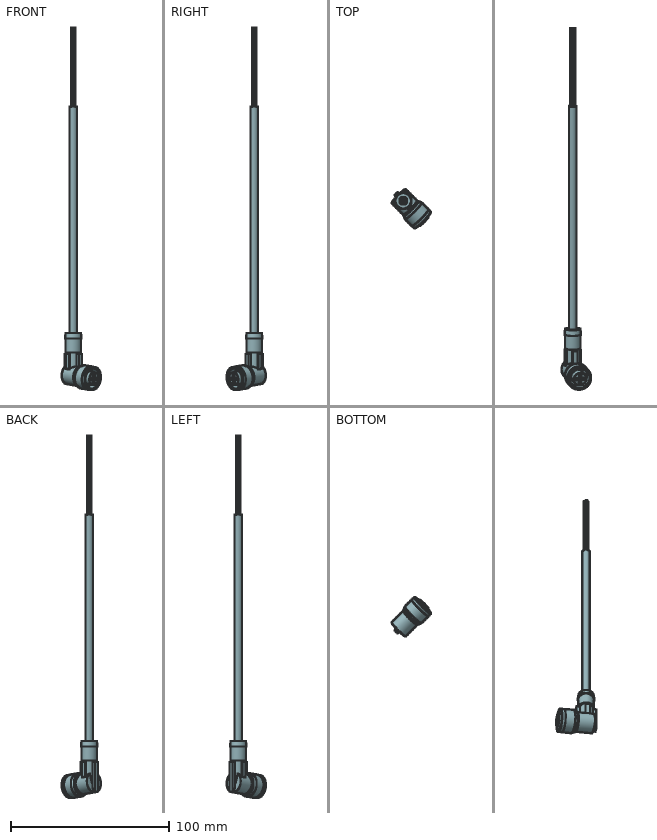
import cadquery as cq

STEP_Z = 14.2
RIB_TOP_Z = 13.4
SLEEVE_LIP_Z = 23.2
SLEEVE_TOP_Z = 26.7
JACKET_TOP_Z = 169.67
WIRE_LENGTH = 50.0

JACKET_RADIUS = 2.5
WIRE_COUNT = 4
WIRE_RADIUS = 0.7
WIRE_PITCH_RADIUS = 1.0
WIRE_EMBED = 5.0

SLEEVE_RADIUS = 5.0
CORE_RADIUS = 4.5
SLEEVE_TOP_RADIUS = 4.9
LIP_RADIUS = 5.3
LONG_RIB_REACH = 6.4
SHORT_RIB_REACH = 5.1
RIB_WIDTH = 2.9
LONG_RIB_BOTTOM_Z = -5.4
SHORT_RIB_BOTTOM_Z = 2.6

PLUG_HEADING = -45.0
PLUG_DIP = 7.0
ELBOW_REAR = -4.15
ELBOW_RADIUS = 6.3
ELBOW_FRONT = 6.3
NECK_RADIUS = 5.6
NUT_REAR = 7.1
NUT_REAR_RADIUS = 6.7
NUT_SHOULDER = 9.0
NUT_BAND = 15.2
NUT_FRONT = 17.41
NUT_RADIUS = 7.5
BAND_RADIUS = 7.4

SOCKET_RADIUS = 6.4
SOCKET_DEPTH = 6.0
INSERT_RADIUS = 4.1
INSERT_FRONT = 18.5
OUTER_CONTACT_COUNT = 4
CONTACT_RADIUS = 0.8
CONTACT_PITCH_RADIUS = 2.4
CONTACT_DEPTH = 5.0


def disc(radius, start, end):
    """Cylinder about the local Z axis between two stations."""
    return cq.Workplane("XY").workplane(offset=start).circle(radius).extrude(end - start)


def to_plug_axis(body):
    """Turn a body built along +Z onto the dipping plug axis."""
    tilted = body.rotate((0, 0, 0), (0, 1, 0), 90 + PLUG_DIP)
    return tilted.rotate((0, 0, 0), (0, 0, 1), PLUG_HEADING)


def make_cable():
    cable = disc(JACKET_RADIUS, 0, JACKET_TOP_Z)
    wires = (
        cq.Workplane("XY")
        .workplane(offset=JACKET_TOP_Z - WIRE_EMBED)
        .polarArray(WIRE_PITCH_RADIUS, 180 / WIRE_COUNT, 360, WIRE_COUNT)
        .circle(WIRE_RADIUS)
        .extrude(WIRE_LENGTH + WIRE_EMBED)
    )
    return cable.union(wires)


def make_rib(reach, bottom):
    """Grip rib standing off the sleeve core towards local +X, square in section."""
    length = RIB_TOP_Z - bottom
    rib = cq.Workplane("XY").box(reach, RIB_WIDTH, length, centered=(False, True, False))
    return rib.translate((0, 0, bottom))


def make_sleeve():
    sleeve = (
        cq.Workplane("XZ")
        .lineTo(CORE_RADIUS, 0)
        .lineTo(CORE_RADIUS, STEP_Z)
        .lineTo(SLEEVE_RADIUS, STEP_Z)
        .lineTo(SLEEVE_RADIUS, SLEEVE_LIP_Z)
        .lineTo(LIP_RADIUS, SLEEVE_LIP_Z)
        .lineTo(SLEEVE_TOP_RADIUS, SLEEVE_TOP_Z)
        .lineTo(0, SLEEVE_TOP_Z)
        .close()
        .revolve(360, (0, 0, 0), (0, 1, 0))
    )
    front_rib = make_rib(LONG_RIB_REACH, 0)
    rear_rib = make_rib(LONG_RIB_REACH, LONG_RIB_BOTTOM_Z)
    side_rib = make_rib(SHORT_RIB_REACH, SHORT_RIB_BOTTOM_Z)
    for quarter, rib in enumerate((front_rib, side_rib, rear_rib, side_rib)):
        angle = PLUG_HEADING + quarter * 90
        sleeve = sleeve.union(rib.rotate((0, 0, 0), (0, 0, 1), angle))
    return sleeve


def make_nut():
    nut = (
        cq.Workplane("XZ")
        .moveTo(0, NUT_REAR)
        .lineTo(NUT_REAR_RADIUS, NUT_REAR)
        .lineTo(NUT_RADIUS, NUT_SHOULDER)
        .lineTo(NUT_RADIUS, NUT_BAND)
        .lineTo(BAND_RADIUS, NUT_BAND)
        .lineTo(BAND_RADIUS, NUT_FRONT)
        .lineTo(0, NUT_FRONT)
        .close()
        .revolve(360, (0, 0, 0), (0, 1, 0))
    )
    return nut.cut(disc(SOCKET_RADIUS, NUT_FRONT - SOCKET_DEPTH, NUT_FRONT))


def make_insert():
    floor = NUT_FRONT - SOCKET_DEPTH
    insert = disc(INSERT_RADIUS, floor, INSERT_FRONT)
    outer_contacts = (
        cq.Workplane("XY")
        .workplane(offset=INSERT_FRONT)
        .polarArray(CONTACT_PITCH_RADIUS, 0, 360, OUTER_CONTACT_COUNT)
        .circle(CONTACT_RADIUS)
        .extrude(-CONTACT_DEPTH)
    )
    center_contact = disc(CONTACT_RADIUS, INSERT_FRONT - CONTACT_DEPTH, INSERT_FRONT)
    return insert.cut(outer_contacts).cut(center_contact)


def make_plug():
    elbow = disc(ELBOW_RADIUS, ELBOW_REAR, ELBOW_FRONT)
    neck = disc(NECK_RADIUS, ELBOW_FRONT, NUT_REAR)
    return to_plug_axis(elbow.union(neck).union(make_nut()).union(make_insert()))


result = make_plug().union(make_sleeve()).union(make_cable())